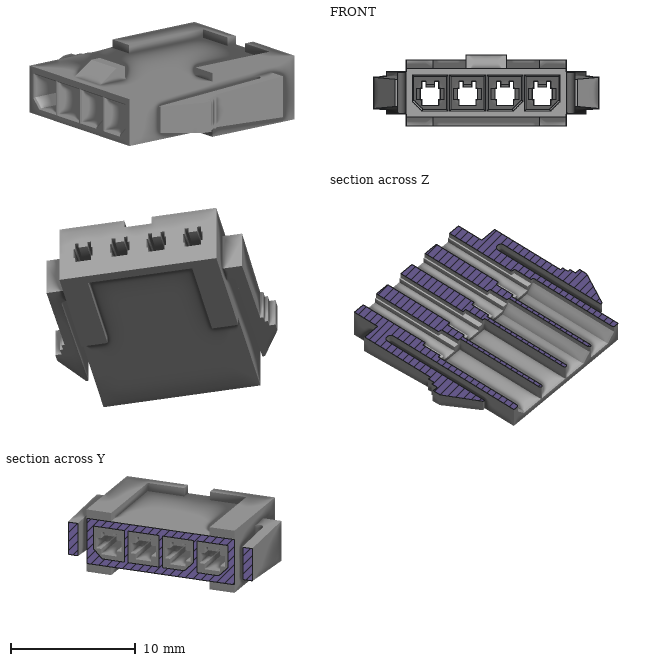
import cadquery as cq


body_width = 12.85
body_length = 16.9
body_height = 3.9

rail_step = 0.7
rail_front = 8.48
rail_gap = 8.55
rear_bar = 0.83
key_gap = 2.22

ramp_width = 3.25
ramp_height = rail_step + 0.4
ramp_toe = 0.83
ramp_crest = 2.5
ramp_back = 3.38
heel_radius = 0.27

cell_pitch = 3.0
cell_size = 2.65
cell_depth = rail_front
cell_key = 0.75
mouth_bevel = 0.1
keyed_corners = ("left", None, "right", "right")

opening_width = 1.34
opening_top = 0.92
opening_bottom = -1.0
bore_width = 1.59
notch_width = 2.22
notch_top = 0.36
notch_bottom = -0.55
notch_depth = 1.8
tongue_width = 0.7
tongue_tip = 0.47
tongue_step = 0.2
tongue_setback = 0.55

arm_root = 6.14
arm_outer = 8.01
arm_inner = 7.13
arm_back = 14.44
arm_tip = 2.47
arm_tip_outer = 7.33
arm_back_height = 3.41
arm_tip_height = 2.18
slot_end = 13.07
tooth_backs = (7.47, 6.91, 6.34)
tooth_tops = (8.27, 8.52, 9.02)
barb_front = 5.58


def block(x_range, y_range, z_range):
    """Box between the given limits on each axis."""
    (x0, x1), (y0, y1), (z0, z1) = x_range, y_range, z_range
    return cq.Workplane("XY").box(x1 - x0, y1 - y0, z1 - z0, centered=False).translate((x0, y0, z0))


def centred(width):
    return (-width / 2, width / 2)


def make_body():
    half_height = body_height / 2
    full_height = half_height + rail_step
    body = block(centred(body_width), (0, body_length), centred(body_height))
    body = body.union(
        block(centred(body_width), (rail_front, body_length), (-full_height, full_height))
    )
    bar_front = body_length - rear_bar
    for z_range in ((half_height, full_height), (-full_height, -half_height)):
        body = body.cut(block(centred(rail_gap), (rail_front, bar_front), z_range))
    return body.cut(block(centred(key_gap), (bar_front, body_length), (half_height, full_height)))


def make_ramp():
    """Locking ramp with a concave fillet at the foot of its rear face."""
    profile = (
        cq.Workplane("YZ")
        .moveTo(ramp_toe, 0)
        .lineTo(ramp_crest, ramp_height)
        .lineTo(ramp_back, ramp_height)
        .lineTo(ramp_back, heel_radius)
        .radiusArc((ramp_back + heel_radius, 0), -heel_radius)
        .close()
    )
    ramp = profile.extrude(ramp_width / 2, both=True)
    return ramp.translate((0, 0, body_height / 2))


def make_arm():
    """Right-hand latch arm: stepped barb outline, tapering in height toward its tip."""
    body_side = body_width / 2
    slot_radius = (arm_inner - body_side) / 2
    slot_middle = body_side + slot_radius
    outline = (
        cq.Workplane("XY")
        .moveTo(arm_root, arm_back)
        .lineTo(arm_outer, arm_back)
        .lineTo(arm_outer, tooth_backs[0])
    )
    tooth_fronts = tooth_backs[1:] + (barb_front,)
    for top, back, front in zip(tooth_tops, tooth_backs, tooth_fronts):
        outline = outline.lineTo(top, back).lineTo(top, front)
    outline = (
        outline.lineTo(arm_tip_outer, arm_tip)
        .lineTo(arm_inner, arm_tip)
        .lineTo(arm_inner, slot_end - slot_radius)
        .threePointArc((slot_middle, slot_end), (body_side, slot_end - slot_radius))
        .lineTo(arm_root, slot_end - slot_radius)
        .close()
    )
    arm = outline.extrude(arm_back_height / 2, both=True)
    taper = [
        (arm_back, arm_back_height / 2),
        (arm_tip, arm_tip_height / 2),
        (arm_tip, -arm_tip_height / 2),
        (arm_back, -arm_back_height / 2),
    ]
    return arm.intersect(cq.Workplane("YZ").polyline(taper).close().extrude(tooth_tops[-1]))


def cell_outline(size, keyed_corner):
    """Square cell outline in X and Z, with one lower corner cut off if keyed."""
    half = size / 2
    right_corner = [(half, -half)]
    left_corner = [(-half, -half)]
    if keyed_corner == "right":
        right_corner = [(half, cell_key - half), (half - cell_key, -half)]
    if keyed_corner == "left":
        left_corner = [(cell_key - half, -half), (-half, cell_key - half)]
    return [(-half, half), (half, half)] + right_corner + left_corner


def make_cell(keyed_corner):
    """Pocket of one cell with a bevelled mouth."""
    pocket_outline = cell_outline(cell_size, keyed_corner)
    mouth_outline = cell_outline(cell_size + 2 * mouth_bevel, keyed_corner)
    pocket = cq.Workplane("XZ").polyline(pocket_outline).close().extrude(-cell_depth)
    mouth = (
        cq.Workplane("XZ")
        .polyline(mouth_outline)
        .close()
        .workplane(offset=-mouth_bevel)
        .polyline(pocket_outline)
        .close()
        .loft(ruled=True)
    )
    return pocket.union(mouth)


def make_opening():
    """Opening from the floor of a cell to the rear face, with side notches and a stepped tongue."""
    through = (cell_depth, body_length)
    notch_end = cell_depth + notch_depth
    opening = block(centred(opening_width), through, (opening_bottom, opening_top))
    opening = opening.union(block(centred(bore_width), through, (notch_bottom, notch_top)))
    opening = opening.union(
        block(centred(notch_width), (cell_depth, notch_end), (notch_bottom, notch_top))
    )
    step_face = cell_depth + tongue_setback
    tongue_profile = [
        (cell_depth, opening_top),
        (cell_depth, tongue_tip + tongue_step),
        (step_face, tongue_tip + tongue_step),
        (step_face, tongue_tip),
        (body_length, tongue_tip),
        (body_length, opening_top),
    ]
    tongue = cq.Workplane("YZ").polyline(tongue_profile).close().extrude(tongue_width / 2, both=True)
    return opening.cut(tongue)


result = make_body().union(make_ramp())

right_arm = make_arm()
result = result.union(right_arm).union(right_arm.mirror("YZ"))

row_start = -cell_pitch * (len(keyed_corners) - 1) / 2
for index, keyed_corner in enumerate(keyed_corners):
    cell_space = make_cell(keyed_corner).union(make_opening())
    result = result.cut(cell_space.translate((row_start + index * cell_pitch, 0, 0)))